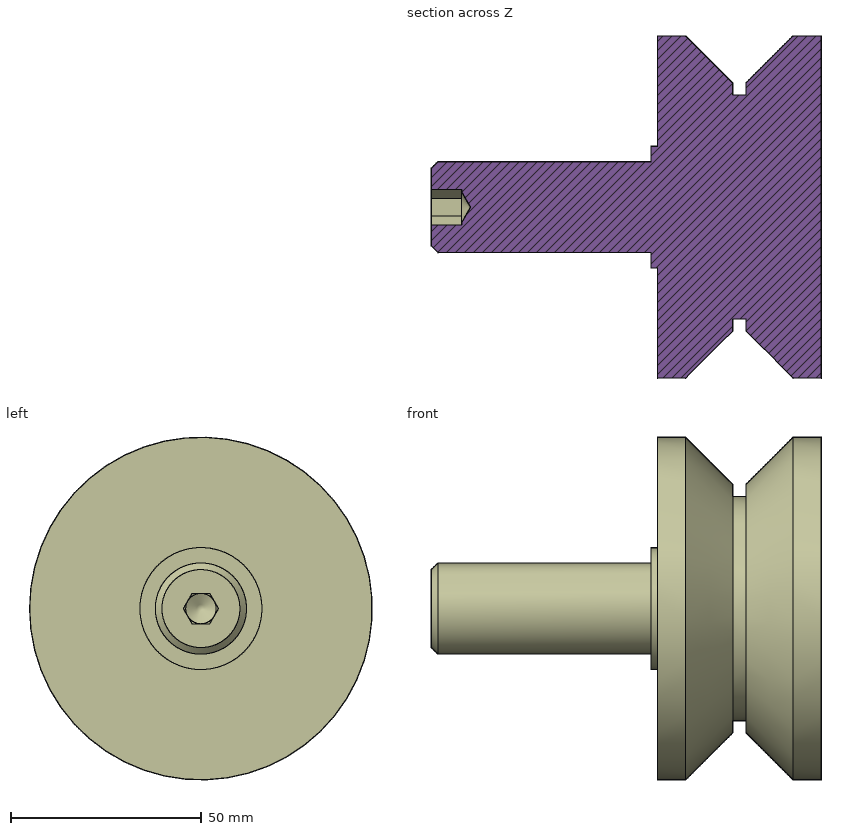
import cadquery as cq
import math

total_length = 102.4

roller_diameter = 90.0
roller_width = 43.0
groove_mouth_width = 28.2
relief_width = 3.4
relief_diameter = 59.0
groove_half_angle = 45.0

shaft_diameter = 24.0
shaft_chamfer = 1.7
collar_diameter = 32.0
collar_width = 1.7

socket_across_flats = 8.0
socket_depth = 8.0
socket_tip_angle = 120.0

roller_start = total_length - roller_width
collar_start = roller_start - collar_width
groove_center = roller_start + roller_width / 2


def cylinder_along_x(start, length, diameter):
    return cq.Workplane("YZ", origin=(start, 0, 0)).circle(diameter / 2).extrude(length)


def make_roller():
    """Disc with a V groove that ends in a narrow square relief."""
    outer_radius = roller_diameter / 2
    half_mouth = groove_mouth_width / 2
    half_relief = relief_width / 2
    flank_depth = (half_mouth - half_relief) / math.tan(math.radians(groove_half_angle))
    flank_end_radius = outer_radius - flank_depth
    relief_radius = relief_diameter / 2
    groove = (
        cq.Workplane("XY")
        .polyline([
            (groove_center - half_mouth, outer_radius),
            (groove_center - half_relief, flank_end_radius),
            (groove_center - half_relief, relief_radius),
            (groove_center + half_relief, relief_radius),
            (groove_center + half_relief, flank_end_radius),
            (groove_center + half_mouth, outer_radius),
        ])
        .close()
        .revolve(360, (0, 0, 0), (1, 0, 0))
    )
    return cylinder_along_x(roller_start, roller_width, roller_diameter).cut(groove)


def make_shaft():
    shaft = cylinder_along_x(0, roller_start, shaft_diameter)
    return shaft.faces("<X").chamfer(shaft_chamfer)


def make_socket():
    """Hexagonal recess, corners along Y, with a conical drill-point bottom."""
    across_corners = socket_across_flats / math.cos(math.radians(30))
    hexagon = cq.Workplane("YZ").polygon(6, across_corners).extrude(socket_depth)
    tip_radius = socket_across_flats / 2
    tip_depth = tip_radius / math.tan(math.radians(socket_tip_angle / 2))
    tip = (
        cq.Workplane("XY")
        .polyline([
            (socket_depth, 0),
            (socket_depth, tip_radius),
            (socket_depth + tip_depth, 0),
        ])
        .close()
        .revolve(360, (0, 0, 0), (1, 0, 0))
    )
    return hexagon.union(tip)


collar = cylinder_along_x(collar_start, collar_width, collar_diameter)
result = make_roller().union(collar).union(make_shaft()).cut(make_socket())